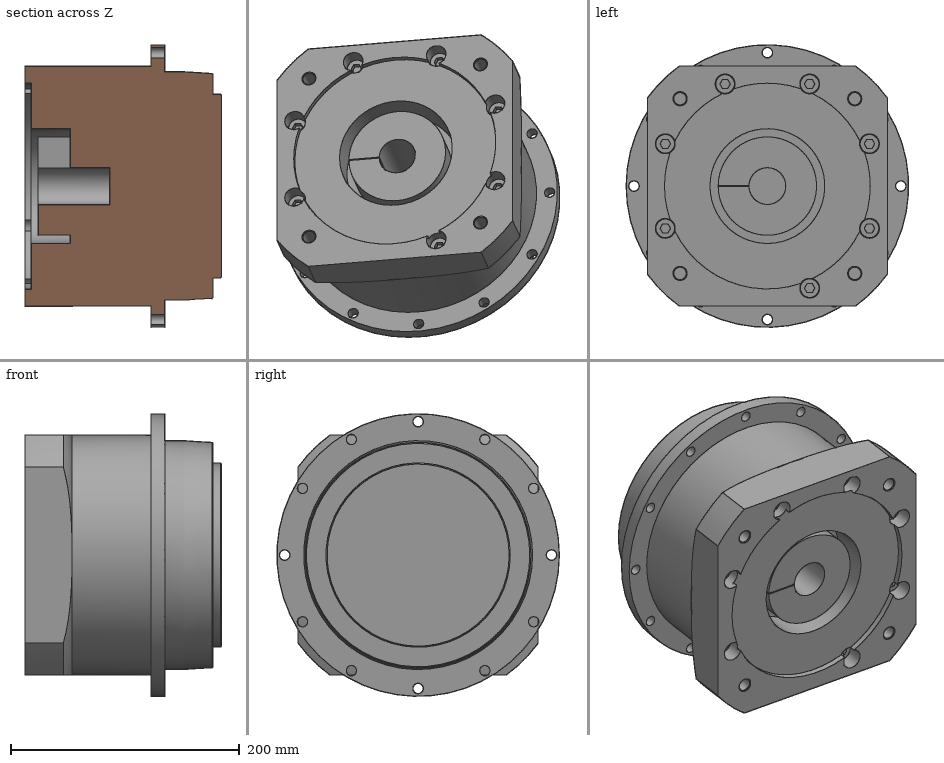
import cadquery as cq
import math


plate_side = 210.0
plate_corner_radius = 130.2
shoulder_start = 33.5
shoulder_mid = (37.5, 120.3)
shoulder_end = 41.2

housing_radius = plate_side / 2
flange_start = 110.2
flange_end = 122.3
flange_radius = 123.5
pilot_radius = 100.0
taper_start = 139.5
taper_end = 164.5
taper_end_radius = 98.5
output_radius = 80.5
output_end = 172.0
edge_chamfer = 1.0

flange_hole_count = 12
flange_hole_radius = 4.5
flange_bolt_radius = 116.5

recess_radius = 90.0
recess_depth = 5.5
hub_space_radius = 50.1
hub_space_depth = 39.5
hub_radius = 43.0
hub_face = 11.5
bore_radius = 16.0
bore_depth = 74.0
slit_width = 1.0

screw_places = 8
empty_place = 6
screw_bolt_radius = 96.5
counterbore_radius = 8.6
counterbore_depth = 24.7
head_radius = 8.2
head_height = 10.0
socket_across_corners = 9.1
socket_depth = 5.0

corner_hole_offset = 76.3
corner_hole_radius = 5.5
corner_hole_depth = 29.6
corner_hole_chamfer = 0.7


def rod(radius, start, end, y=0.0, z=0.0):
    """Cylinder along X between two stations."""
    return cq.Workplane("YZ", origin=(start, y, z)).circle(radius).extrude(end - start)


def on_circle(radius, count, first_angle):
    """Evenly spaced (y, z) places on a circle about the X axis."""
    angles = [math.radians(first_angle + 360 / count * i) for i in range(count)]
    return [(radius * math.cos(a), radius * math.sin(a)) for a in angles]


def make_plate():
    """Square plate with turned corners and a rounded shoulder behind them."""
    turned = (
        cq.Workplane("XY")
        .lineTo(0, plate_corner_radius)
        .lineTo(shoulder_start, plate_corner_radius)
        .threePointArc(shoulder_mid, (shoulder_end, housing_radius))
        .lineTo(shoulder_end, 0)
        .close()
        .revolve(360, (0, 0, 0), (1, 0, 0))
    )
    square = cq.Workplane("YZ").rect(plate_side, plate_side).extrude(shoulder_end)
    return turned.intersect(square)


def make_housing():
    """Turned housing with the flange, tapered pilot and output disc."""
    return (
        cq.Workplane("XY")
        .moveTo(shoulder_start, 0)
        .lineTo(shoulder_start, housing_radius)
        .lineTo(flange_start, housing_radius)
        .lineTo(flange_start, flange_radius)
        .lineTo(flange_end, flange_radius)
        .lineTo(flange_end, pilot_radius)
        .lineTo(taper_start, pilot_radius)
        .lineTo(taper_end - edge_chamfer, taper_end_radius)
        .lineTo(taper_end, taper_end_radius - edge_chamfer)
        .lineTo(taper_end, output_radius)
        .lineTo(output_end - edge_chamfer, output_radius)
        .lineTo(output_end, output_radius - edge_chamfer)
        .lineTo(output_end, 0)
        .close()
        .revolve(360, (0, 0, 0), (1, 0, 0))
    )


def cut_flange_holes(body):
    for y, z in on_circle(flange_bolt_radius, flange_hole_count, 0):
        body = body.cut(rod(flange_hole_radius, flange_start, flange_end, y, z))
    return body


def cut_recess_and_hub(body):
    """Stepped recess that leaves a bored hub, slit on its +Y side."""
    body = body.cut(rod(recess_radius, 0, recess_depth))
    body = body.cut(rod(hub_space_radius, 0, hub_space_depth))
    body = body.union(rod(hub_radius, hub_face, hub_space_depth))
    body = body.cut(rod(bore_radius, hub_face, bore_depth))
    hub_length = hub_space_depth - hub_face
    slit = cq.Workplane("XY").box(hub_length, hub_radius, slit_width, centered=(False, False, True))
    return body.cut(slit.translate((hub_face, 0, 0)))


def add_screws(body):
    """Counterbores, each holding a socket head except the empty place."""
    head_top = counterbore_depth - head_height
    places = on_circle(screw_bolt_radius, screw_places, 180 / screw_places)
    for place, (y, z) in enumerate(places):
        if place == empty_place:
            continue
        body = body.cut(rod(counterbore_radius, 0, counterbore_depth, y, z))
        head = rod(head_radius, head_top, counterbore_depth, y, z)
        socket = (
            cq.Workplane("YZ", origin=(head_top, y, z))
            .polygon(6, socket_across_corners)
            .extrude(socket_depth)
        )
        body = body.union(head.cut(socket))
    return body


def cut_corner_holes(body):
    """Blind holes with a small countersink at the four corners."""
    hole = rod(corner_hole_radius, 0, corner_hole_depth)
    mouth = cq.Workplane("YZ").circle(corner_hole_radius + corner_hole_chamfer)
    mouth = mouth.workplane(offset=corner_hole_chamfer).circle(corner_hole_radius).loft()
    cutter = hole.union(mouth)
    for y in (-corner_hole_offset, corner_hole_offset):
        for z in (-corner_hole_offset, corner_hole_offset):
            body = body.cut(cutter.translate((0, y, z)))
    return body


result = make_plate().union(make_housing())
result = cut_flange_holes(result)
result = cut_recess_and_hub(result)
result = add_screws(result)
result = cut_corner_holes(result)